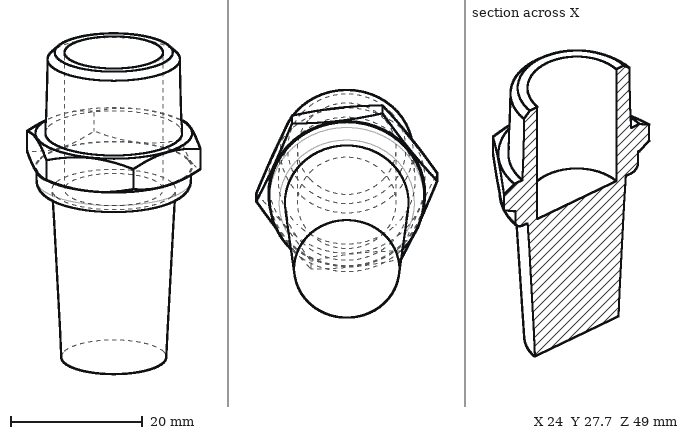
import cadquery as cq
import math

total_height = 49.0
collar_bottom = 26.95
hex_bottom = 30.6
hex_top = 36.0

tail_end_diameter = 16.0
tail_root_diameter = 18.8

collar_diameter = 23.5
collar_fillet = 1.45

across_flats = 24.0
across_corners = across_flats / math.cos(math.radians(30))
hex_face_diameter = 23.85
hex_chamfer_angle = 30.0

spigot_root_diameter = 20.82
spigot_tip_diameter = 20.2
spigot_rim_diameter = 18.0
rim_chamfer_height = 1.1

bore_diameter = 15.0
bore_floor = collar_bottom


def revolved(profile):
    """Turn (radius, z) points, closed along the axis, into a solid about Z."""
    points = [(0, profile[0][1])] + profile + [(0, profile[-1][1])]
    return cq.Workplane("XZ").polyline(points).close().revolve(360, (0, 0), (0, 1))


def make_tail():
    return revolved([
        (tail_end_diameter / 2, 0),
        (tail_root_diameter / 2, collar_bottom),
    ])


def make_collar():
    collar = (
        cq.Workplane("XY")
        .workplane(offset=collar_bottom)
        .circle(collar_diameter / 2)
        .extrude(hex_bottom - collar_bottom)
    )
    return collar.faces("<Z").edges().fillet(collar_fillet)


def make_hexagon():
    """Hexagon with flats facing X and its corners chamfered on both ends."""
    prism = (
        cq.Workplane("XY")
        .workplane(offset=hex_bottom)
        .polygon(6, across_corners)
        .extrude(hex_top - hex_bottom)
        .rotate((0, 0, 0), (0, 0, 1), 30)
    )
    face_radius = hex_face_diameter / 2
    corner_radius = across_corners / 2
    drop = (corner_radius - face_radius) * math.tan(math.radians(hex_chamfer_angle))
    envelope = revolved([
        (face_radius, hex_bottom),
        (corner_radius, hex_bottom + drop),
        (corner_radius, hex_top - drop),
        (face_radius, hex_top),
    ])
    return prism.intersect(envelope)


def make_spigot():
    return revolved([
        (spigot_root_diameter / 2, hex_top),
        (spigot_tip_diameter / 2, total_height - rim_chamfer_height),
        (spigot_rim_diameter / 2, total_height),
    ])


def make_bore():
    return (
        cq.Workplane("XY")
        .workplane(offset=bore_floor)
        .circle(bore_diameter / 2)
        .extrude(total_height - bore_floor)
    )


body = make_tail().union(make_collar()).union(make_hexagon()).union(make_spigot())
result = body.cut(make_bore())